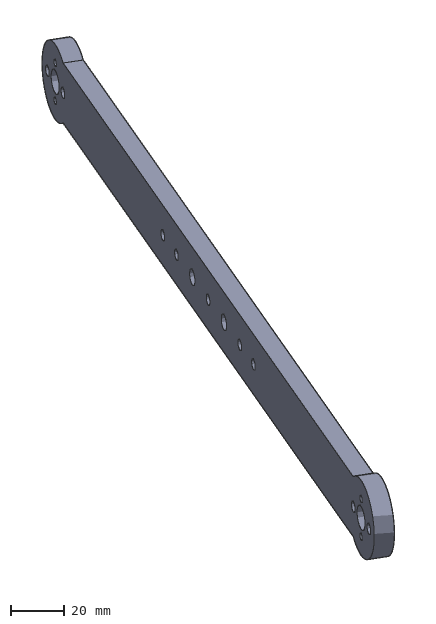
import cadquery as cq

thickness = 8.0
overall_length = 400.05
head_diameter = 31.75
bar_width = 25.4
head_offset = (overall_length - head_diameter) / 2

shaft_hole_diameter = 9.525
lengthwise_bolt_spacing = 18.7
lengthwise_bolt_diameter = 4.3
crosswise_bolt_spacing = 16.0
crosswise_bolt_diameter = 2.75

row_pitch = 19.05
row_end_offset = 54.61
small_hole_diameter = 4.3
large_hole_diameter = 6.35

head_centers = [(-head_offset, 0), (head_offset, 0)]


def back_face():
    """XZ workplane on the back of the arm; extruding runs toward -Y."""
    return cq.Workplane("XZ", origin=(0, thickness / 2, 0))


def cylinders(centers, diameter):
    """Full-thickness round plugs along Y at the given (x, z) centres."""
    return back_face().pushPoints(centers).circle(diameter / 2).extrude(thickness)


def arm_blank():
    """Bar joined to the two round heads."""
    bar = back_face().rect(2 * head_offset, bar_width).extrude(thickness)
    return bar.union(cylinders(head_centers, head_diameter))


def cut_motor_mount(body, center_x):
    """Shaft hole with two pairs of bolt holes around it."""
    lengthwise = [(center_x + side * lengthwise_bolt_spacing / 2, 0) for side in (-1, 1)]
    crosswise = [(center_x, side * crosswise_bolt_spacing / 2) for side in (-1, 1)]
    body = body.cut(cylinders([(center_x, 0)], shaft_hole_diameter))
    body = body.cut(cylinders(lengthwise, lengthwise_bolt_diameter))
    return body.cut(cylinders(crosswise, crosswise_bolt_diameter))


def cut_center_row(body):
    """Two large holes one pitch from the centre, and small holes at the remaining places."""
    large = [(side * row_pitch, 0) for side in (-1, 1)]
    small = [(0, 0)]
    for offset in (2 * row_pitch, row_end_offset):
        small += [(-offset, 0), (offset, 0)]
    body = body.cut(cylinders(large, large_hole_diameter))
    return body.cut(cylinders(small, small_hole_diameter))


result = arm_blank()
for head_x, _ in head_centers:
    result = cut_motor_mount(result, head_x)
result = cut_center_row(result)